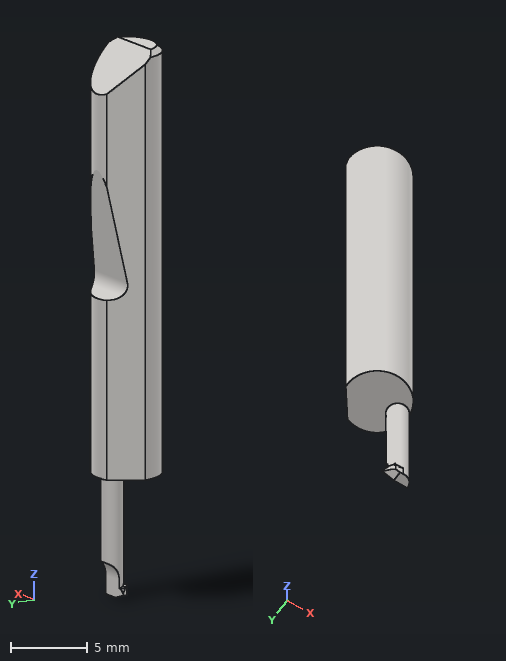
import cadquery as cq
import math


total_length = 38.1
shank_diameter = 4.7625
shank_radius = shank_diameter / 2
shoulder_z = 8.89
top_chamfer = 0.38

flat_direction = 144.0
flat_distance = 2.02

bevel_edge_y = -0.615

notch_top_z = 29.9
notch_height = 8.76
notch_wall_angle = 9.5
notch_fillet = 1.0

neck_diameter = 1.55
neck_radius = neck_diameter / 2
neck_x = shank_radius - neck_radius

rake_cutter_radius = 1.25
rake_cutter_z = 1.34

tooth_tip_x = 0.38
tip_lower_z = 0.36
tip_upper_z = 0.48
tooth_top_x = 0.64
tooth_top_z = tip_upper_z + (tooth_top_x - tooth_tip_x)
end_relief_x = 1.3
root_radius = 0.18
root_x = 0.95

primary_relief_x = 0.78
primary_relief_y = -0.55
tooth_corner_x = 0.96
tooth_corner_y = -0.74
tooth_back_x = 1.55

clearance = 2 * shank_diameter


def make_shank():
    shank = (
        cq.Workplane("XY", origin=(0, 0, shoulder_z))
        .circle(shank_radius)
        .extrude(total_length - shoulder_z)
    )
    return shank.faces(">Z").chamfer(top_chamfer)


def make_flat_cutter():
    cutter = cq.Workplane("XY").box(
        clearance, clearance, total_length, centered=(False, True, False)
    )
    cutter = cutter.translate((flat_distance, 0, 0))
    return cutter.rotate((0, 0, 0), (0, 0, 1), flat_direction)


def make_bevel_cutter():
    return (
        cq.Workplane("YZ")
        .moveTo(bevel_edge_y, total_length)
        .lineTo(bevel_edge_y + clearance, total_length)
        .lineTo(bevel_edge_y + clearance, total_length - clearance)
        .close()
        .extrude(clearance, both=True)
    )


def make_notch_cutter():
    angle = math.radians(notch_wall_angle)
    wall_length = notch_height * math.cos(angle)
    floor_length = notch_height * math.sin(angle)
    corner_y = shank_radius - wall_length * math.sin(angle)
    corner_z = notch_top_z - wall_length * math.cos(angle)
    overrun = 1.2
    wall_end = (
        corner_y + overrun * wall_length * math.sin(angle),
        corner_z + overrun * wall_length * math.cos(angle),
    )
    floor_end = (
        corner_y + overrun * floor_length * math.cos(angle),
        corner_z - overrun * floor_length * math.sin(angle),
    )
    cutter = (
        cq.Workplane("YZ")
        .polyline([(corner_y, corner_z), wall_end, floor_end])
        .close()
        .extrude(clearance, both=True)
    )
    return cutter.edges("|X and <Y").fillet(notch_fillet)


def make_neck():
    return cq.Workplane("XY").center(neck_x, 0).circle(neck_radius).extrude(shoulder_z)


def make_rake_cutter():
    slot = cq.Workplane("XY").box(
        clearance, 2 * rake_cutter_radius, rake_cutter_z, centered=(True, False, False)
    )
    round_end = (
        cq.Workplane("YZ")
        .center(rake_cutter_radius, rake_cutter_z)
        .circle(rake_cutter_radius)
        .extrude(clearance / 2, both=True)
    )
    return slot.union(round_end)


def make_tooth():
    arc_offset = root_radius * math.sqrt(0.5)
    root_top_z = tooth_top_z + root_radius
    arc_middle = (root_x - root_radius + arc_offset, root_top_z - arc_offset)
    profile = (
        cq.Workplane("XZ")
        .moveTo(tooth_tip_x, tip_lower_z)
        .lineTo(tooth_tip_x, tip_upper_z)
        .lineTo(tooth_top_x, tooth_top_z)
        .lineTo(root_x - root_radius, tooth_top_z)
        .threePointArc(arc_middle, (root_x, root_top_z))
        .lineTo(root_x, tooth_top_z)
        .lineTo(tooth_back_x, tooth_top_z)
        .lineTo(tooth_back_x, 0)
        .lineTo(end_relief_x, 0)
        .close()
        .extrude(neck_diameter)
    )
    plan = (
        cq.Workplane("XY")
        .polyline(
            [
                (tooth_tip_x, 0),
                (primary_relief_x, primary_relief_y),
                (tooth_corner_x, tooth_corner_y),
                (tooth_back_x, -neck_radius),
                (tooth_back_x, 0),
            ]
        )
        .close()
        .extrude(root_top_z)
    )
    return profile.intersect(plan)


def make_end_relief_cutter():
    slope = tip_lower_z / (end_relief_x - tooth_tip_x)
    return (
        cq.Workplane("XZ", origin=(0, clearance / 2, 0))
        .polyline([(end_relief_x, 0), (0, slope * end_relief_x), (0, 0)])
        .close()
        .extrude(clearance)
    )


shank = (
    make_shank()
    .cut(make_flat_cutter())
    .cut(make_bevel_cutter())
    .cut(make_notch_cutter())
)
neck = make_neck().cut(make_rake_cutter()).cut(make_end_relief_cutter())

result = shank.union(neck).union(make_tooth())